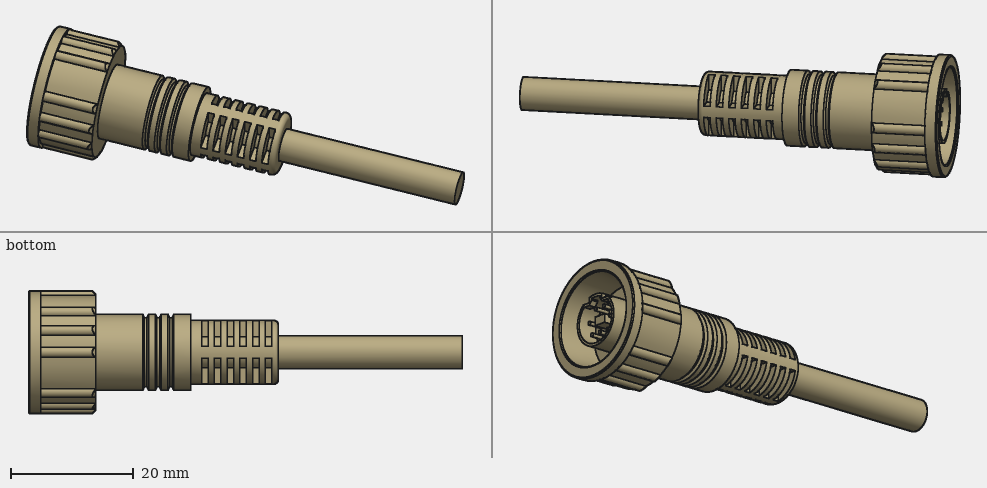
import cadquery as cq
import math


length = 70.7
nut_diameter = 20.0
nut_radius = nut_diameter / 2
cable_diameter = 5.45
cable_radius = cable_diameter / 2

nut_length = 10.95
nut_flange_length = 2.0
nut_barrel_radius = 9.3
nut_rim_chamfer = 0.2
nut_rear_chamfer = 0.6
bore_mouth_radius = 8.0
bore_end_radius = 7.4
bore_depth = 8.5
rib_radius = 0.85
rib_groups = 4
ribs_per_group = 3
group_pitch = 360.0 / rib_groups
rib_pitch = group_pitch / (ribs_per_group + 1)

collar_radius = 7.2
collar_front = 6.8
housing_radius = 6.2
housing_end = 26.45
groove_start = 18.6
groove_pitch = 2.05
groove_width = 1.0
groove_depth = 0.6
groove_flank = 0.3
groove_count = 3

boot_radius = 5.2
boot_end = 40.7
boot_fillet = 0.85
first_slot = 28.2
last_slot = 38.6
slot_width = 1.05
slot_count = 6
slot_pitch = (last_slot - first_slot) / (slot_count - 1)
spine_width = 1.9

shell_front = 0.65
shell_radius = 4.45
shell_wall = 0.46
socket_floor = 4.25
dent_side = 1.55
dent_floor = 3.3
dent_length = 0.85
dent_bevel_width = 0.6
dent_bevel_height = 0.8
key_ridge_front = 1.9
key_ridge_radius = 0.53
key_ridge_drop = 3.8

contact_front = 1.55
pin_radius = 0.32
pin_places = [
    (-1.0, 2.3), (1.0, 2.3),
    (-2.55, 0.3), (2.55, 0.3),
    (-1.9, -1.9), (0.0, -1.9), (1.9, -1.9),
]
block_width = 2.3
block_height = 1.5
block_middle = 0.2


def turned(outline):
    """Revolve a closed XZ outline about the X axis."""
    return outline.close().revolve(360, (0, 0, 0), (1, 0, 0))


def rod(radius, start, end, y=0.0, z=0.0):
    """A cylinder parallel to X."""
    return cq.Workplane("YZ", origin=(start, 0, 0)).center(y, z).circle(radius).extrude(end - start)


def box(start, end, y_range, z_range):
    """A box between the given X, Y and Z limits."""
    y_low, y_high = y_range
    z_low, z_high = z_range
    return (
        cq.Workplane("YZ", origin=(start, 0, 0))
        .moveTo(y_low, z_low)
        .lineTo(y_high, z_low)
        .lineTo(y_high, z_high)
        .lineTo(y_low, z_high)
        .close()
        .extrude(end - start)
    )


def make_nut():
    """Ribbed coupling nut with a tapered bore and a rear wall around the housing."""
    barrel = turned(
        cq.Workplane("XZ")
        .moveTo(0, 0)
        .lineTo(0, nut_radius - nut_rim_chamfer)
        .lineTo(nut_rim_chamfer, nut_radius)
        .lineTo(nut_flange_length, nut_radius)
        .lineTo(nut_flange_length, nut_barrel_radius)
        .lineTo(nut_length, nut_barrel_radius)
        .lineTo(nut_length, 0)
    )
    rib_centre = nut_radius - rib_radius
    for group in range(rib_groups):
        for place in range(ribs_per_group):
            angle = math.radians(group * group_pitch - place * rib_pitch)
            barrel = barrel.union(
                rod(rib_radius, nut_flange_length, nut_length,
                    rib_centre * math.cos(angle), rib_centre * math.sin(angle))
            )
    envelope = rod(nut_radius, 0, nut_length).faces(">X").chamfer(nut_rear_chamfer)
    bore = turned(
        cq.Workplane("XZ")
        .moveTo(0, 0)
        .lineTo(0, bore_mouth_radius + nut_rim_chamfer)
        .lineTo(nut_rim_chamfer, bore_mouth_radius)
        .lineTo(bore_depth, bore_end_radius)
        .lineTo(bore_depth, housing_radius)
        .lineTo(nut_length, housing_radius)
        .lineTo(nut_length, 0)
    )
    return barrel.intersect(envelope).cut(bore)


def make_turned_connector():
    """Collar, grooved housing, boot and cable as one revolved solid."""
    outline = (
        cq.Workplane("XZ")
        .moveTo(collar_front, 0)
        .lineTo(collar_front, collar_radius)
        .lineTo(bore_depth, collar_radius)
        .lineTo(bore_depth, housing_radius)
    )
    groove_floor = housing_radius - groove_depth
    for i in range(groove_count):
        start = groove_start + i * groove_pitch
        end = start + groove_width
        outline = (
            outline.lineTo(start, housing_radius)
            .lineTo(start + groove_flank, groove_floor)
            .lineTo(end - groove_flank, groove_floor)
            .lineTo(end, housing_radius)
        )
    outline = (
        outline.lineTo(housing_end, housing_radius)
        .lineTo(housing_end, boot_radius)
        .lineTo(boot_end - boot_fillet, boot_radius)
        .radiusArc((boot_end, boot_radius - boot_fillet), boot_fillet)
        .lineTo(boot_end, cable_radius)
        .lineTo(length, cable_radius)
        .lineTo(length, 0)
    )
    return turned(outline)


def make_boot_slots():
    """Rings of slots around the boot, interrupted by four lengthwise spines."""
    slots = []
    half_spine = spine_width / 2
    for i in range(slot_count):
        start = first_slot + i * slot_pitch
        end = start + slot_width
        ring = rod(housing_radius, start, end).cut(rod(cable_radius, start, end))
        upright = box(start, end, (-half_spine, half_spine), (-housing_radius, housing_radius))
        level = box(start, end, (-housing_radius, housing_radius), (-half_spine, half_spine))
        slots.append(ring.cut(upright).cut(level))
    return slots


def make_shell():
    """Round plug shell with two dents beside its top and a key ridge at its bottom."""
    shell = rod(shell_radius, shell_front, collar_front)
    socket = rod(shell_radius - shell_wall, shell_front, socket_floor)
    dent_underside = dent_floor - shell_wall
    bump_side = dent_side - dent_bevel_width
    dent_end = shell_front + dent_length
    for side in (-1, 1):
        bump = (
            cq.Workplane("YZ", origin=(shell_front, 0, 0))
            .moveTo(side * shell_radius, dent_underside)
            .lineTo(side * dent_side, dent_underside)
            .lineTo(side * bump_side, dent_underside + dent_bevel_height)
            .lineTo(side * bump_side, shell_radius)
            .lineTo(side * shell_radius, shell_radius)
            .close()
            .extrude(dent_length + shell_wall)
        )
        socket = socket.cut(bump)
        dent = box(shell_front, dent_end, (side * dent_side, side * shell_radius),
                   (dent_floor, shell_radius))
        shell = shell.cut(dent)
    ridge = rod(key_ridge_radius, key_ridge_front, socket_floor, 0, -key_ridge_drop)
    return shell.cut(socket.cut(ridge))


def add_contacts(body):
    """Stand the contact pins and the centre key block on the socket floor."""
    for y, z in pin_places:
        body = body.union(rod(pin_radius, contact_front, socket_floor, y, z))
    block = box(contact_front, socket_floor, (-block_width / 2, block_width / 2),
                (block_middle - block_height / 2, block_middle + block_height / 2))
    return body.union(block)


def make_connector():
    """Plug shell, contacts, housing, boot and cable moulded together."""
    body = make_turned_connector()
    for slot in make_boot_slots():
        body = body.cut(slot)
    return add_contacts(body.union(make_shell()))


nut = make_nut()
connector = make_connector()

result = cq.Compound.makeCompound([nut.val(), connector.val()])